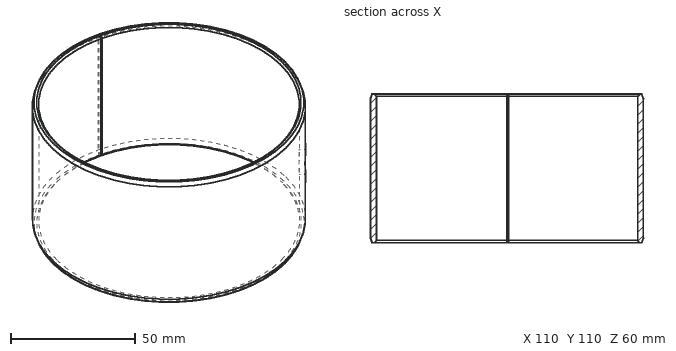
import cadquery as cq

outer_radius = 55.0
wall = 2.5
height = 60.0
inner_radius = outer_radius - wall
half_height = height / 2

outer_chamfer_depth = 0.7
outer_chamfer_height = 2.0
inner_chamfer_depth = 0.8
inner_chamfer_height = 1.0

split_width = 0.5

hole_diameter = 10.0
hole_angle = 59.0


def make_ring():
    """Revolve the wall section, chamfered at its four corners, about Z."""
    inner_edge = half_height - inner_chamfer_height
    outer_edge = half_height - outer_chamfer_height
    inner_rim = inner_radius + inner_chamfer_depth
    outer_rim = outer_radius - outer_chamfer_depth
    section = (
        cq.Workplane("XZ")
        .moveTo(inner_radius, -inner_edge)
        .lineTo(inner_radius, inner_edge)
        .lineTo(inner_rim, half_height)
        .lineTo(outer_rim, half_height)
        .lineTo(outer_radius, outer_edge)
        .lineTo(outer_radius, -outer_edge)
        .lineTo(outer_rim, -half_height)
        .lineTo(inner_rim, -half_height)
        .close()
    )
    return section.revolve(360, (0, 0, 0), (0, 1, 0))


def make_split():
    """Slab from the axis outwards along -X, parting the full height."""
    return (
        cq.Workplane("XY")
        .box(2 * outer_radius, split_width, height)
        .translate((-outer_radius, split_width / 2, 0))
    )


def make_hole():
    """Cylinder from the axis outwards, crossing the wall once."""
    return (
        cq.Workplane("YZ")
        .circle(hole_diameter / 2)
        .extrude(2 * outer_radius)
        .rotate((0, 0, 0), (0, 0, 1), hole_angle)
    )


result = make_ring().cut(make_split()).cut(make_hole())